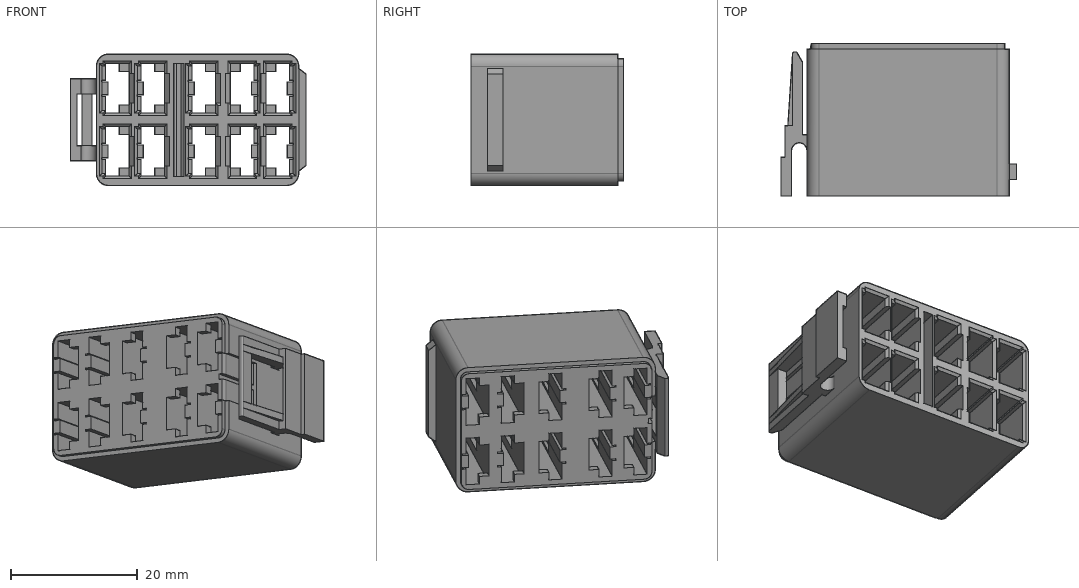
import cadquery as cq

body_width = 32.0
body_height = 20.78
corner_radius = 1.95
total_length = 24.15
rim_length = 0.9
rim_inset = 0.7
body_length = total_length - rim_length
body_left = -body_width / 2
body_right = body_width / 2

columns_slot_left = (-12.65, -7.08, 0.95)
columns_slot_right = (7.05, 12.65)
row_pitch = 9.95
row_centres = (row_pitch / 2, -row_pitch / 2)
lead_in = 0.4
entry_width = 4.5
entry_height = 8.6
side_slot_width = 0.6
side_slot_entry_height = 7.85
side_slot_depth = 11.9
throat_width = entry_width - 2 * lead_in
throat_height = entry_height - 2 * lead_in
side_slot_edge = -entry_width / 2 - side_slot_width
slot_wall = side_slot_edge + lead_in

tongue_height = 2.05
tongue_reach = 0.95
tongue_gap = 0.242
stop_width = 1.55
stop_height = 1.25
stop_length = 1.5
groove_height = 4.6
groove_depth = 0.8
groove_length = 11.9

key_slot_x = -2.95
key_slot_width = 1.65
key_slot_height = 17.85
key_slot_depth = 11.9
key_floor_width = 0.7
key_ridge_crest = 0.35
key_ridge_rise = 0.1
key_ridge_drop = 0.15
key_right_rise = 0.4

latch_height = 13.0
pad_level = 4.1
pad_length = 6.2
lever_level = 3.45
step_y = 11.15
wedge_level = 3.0
arm_outer_level = 2.27
arm_inner_level = 0.67
tip_y = 22.8
tip_slope_start = 21.2
tip_flat = 0.67
tip_radius = 0.35
bridge_top = 9.72
bridge_gap = 2.4
bridge_arc_radius = bridge_gap / 2
bridge_arc_y = 7.22
wedge_base_height = 10.28
window_height = 8.1
window_end = 19.95

relief_start = 14.37
relief_height = 7.65
relief_depth = 0.52
relief_groove_height = 0.85
relief_groove_depth = 1.25

rib_reach = 1.15
rib_start = 2.6
rib_end = 5.1
rib_base_height = 16.25
rib_outer_height = 14.45


def box(x_range, y_range, z_range):
    """Axis-aligned box between the given limits."""
    size = [high - low for low, high in (x_range, y_range, z_range)]
    corner = (x_range[0], y_range[0], z_range[0])
    return cq.Workplane("XY").box(*size, centered=False).translate(corner)


def centred_z(height):
    return (-height / 2, height / 2)


def plate(points, height):
    """Outline in the XY plane, extruded evenly to both sides of Z = 0."""
    return cq.Workplane("XY").polyline(points).close().extrude(height / 2, both=True)


def make_shell():
    """Rounded block with the smaller rim behind it."""
    def block(inset, y_end):
        outline = cq.Workplane("XZ").rect(body_width - 2 * inset, body_height - 2 * inset)
        return outline.extrude(-y_end).edges("|Y").fillet(corner_radius - inset)

    return block(0, body_length).union(block(rim_inset, total_length))


def entry_funnel(left, right, height):
    """Entry opening that narrows at 45 degrees behind the front face."""
    front = cq.Workplane("ZX", origin=((left + right) / 2, 0, 0))
    return front.rect(height, right - left).extrude(lead_in, taper=45)


def make_cell():
    """Cavity of one terminal cell, centred on the Y axis, side slot at -X."""
    throat_edge = throat_width / 2
    cavity = entry_funnel(-entry_width / 2, entry_width / 2, entry_height)
    cavity = cavity.union(entry_funnel(side_slot_edge, entry_width / 2 - lead_in, side_slot_entry_height))

    throat = box((-throat_edge, throat_edge), (0, total_length), centred_z(throat_height))
    side_slot_height = side_slot_entry_height - 2 * lead_in
    side_slot = box((slot_wall, 0), (0, side_slot_depth), centred_z(side_slot_height))
    tongue_window = box((slot_wall, 0), (0, total_length), centred_z(tongue_height + 2 * tongue_gap))
    cavity = cavity.union(throat).union(side_slot).union(tongue_window)

    groove = plate(
        [
            (0, 0),
            (throat_edge + groove_depth, 0),
            (throat_edge + groove_depth, groove_length),
            (throat_edge, groove_length + groove_depth),
            (0, groove_length + groove_depth),
        ],
        groove_height,
    )
    cavity = cavity.union(groove)

    tongue = box(
        (slot_wall, slot_wall + tongue_reach),
        (side_slot_depth, total_length),
        centred_z(tongue_height),
    )
    cavity = cavity.cut(tongue)
    stop_x = (throat_edge - stop_width, throat_edge)
    stop_y = (total_length - stop_length, total_length)
    top = throat_height / 2
    for stop_z in ((top - stop_height, top), (-top, stop_height - top)):
        cavity = cavity.cut(box(stop_x, stop_y, stop_z))
    return cavity


def cut_cells(housing):
    """Remove every cell; the right-hand columns are mirrored."""
    cell = make_cell()
    mirrored_cell = cell.mirror("YZ")
    for centres, cavity in ((columns_slot_left, cell), (columns_slot_right, mirrored_cell)):
        for x in centres:
            for z in row_centres:
                housing = housing.cut(cavity.translate((x, 0, z)))
    return housing


def make_groove_lead_in():
    """Chamfer below the barrel groove of the upper cell in the third column."""
    groove_bottom = row_centres[0] - groove_height / 2
    inner = columns_slot_left[2] + throat_width / 2
    wedge = [(0, groove_bottom), (lead_in, groove_bottom), (0, groove_bottom - lead_in)]
    start = cq.Workplane("YZ", origin=(inner, 0, 0))
    return start.polyline(wedge).close().extrude(groove_depth)


def make_key_slot():
    """Blind slot whose floor has a rounded ridge on the left and a ramp on the right."""
    left = key_slot_x - key_slot_width / 2
    right = key_slot_x + key_slot_width / 2
    flat_left = key_slot_x - key_floor_width / 2
    flat_right = key_slot_x + key_floor_width / 2
    return (
        cq.Workplane("XY")
        .moveTo(left, 0)
        .lineTo(right, 0)
        .lineTo(right, key_slot_depth - key_right_rise)
        .lineTo(flat_right, key_slot_depth)
        .lineTo(flat_left, key_slot_depth)
        .threePointArc(
            (left + key_ridge_crest, key_slot_depth - key_ridge_rise),
            (left, key_slot_depth + key_ridge_drop),
        )
        .close()
        .extrude(key_slot_height / 2, both=True)
    )


def make_latch():
    """Rocking lever joined to the side wall by a bridge, with a central window."""
    def level(distance):
        return body_left - distance

    lever = (
        cq.Workplane("XY")
        .moveTo(level(bridge_gap), 0)
        .lineTo(level(pad_level), 0)
        .lineTo(level(pad_level), pad_length)
        .lineTo(level(lever_level), pad_length)
        .lineTo(level(lever_level), step_y)
        .lineTo(level(arm_outer_level), step_y)
        .lineTo(level(arm_outer_level), tip_y - tip_radius)
        .radiusArc((level(arm_outer_level - tip_radius), tip_y), tip_radius)
        .lineTo(level(arm_outer_level - tip_flat), tip_y)
        .lineTo(level(arm_inner_level), tip_slope_start)
        .lineTo(level(arm_inner_level), bridge_top)
        .lineTo(body_left, bridge_top)
        .lineTo(body_left, bridge_arc_y)
        .threePointArc(
            (level(bridge_arc_radius), bridge_arc_y + bridge_arc_radius),
            (level(bridge_gap), bridge_arc_y),
        )
        .close()
        .extrude(latch_height / 2, both=True)
    )

    wedge = plate(
        [
            (level(arm_outer_level), step_y),
            (level(wedge_level), step_y),
            (level(arm_outer_level), tip_y - tip_radius),
        ],
        wedge_base_height,
    )
    wedge_gap = box(
        (level(wedge_level), level(arm_outer_level)), (step_y, tip_y), centred_z(window_height)
    )
    window = box((level(wedge_level), body_left), (0, window_end), centred_z(window_height))
    return lever.union(wedge.cut(wedge_gap)).cut(window)


def make_latch_relief():
    """Shallow pocket in the side wall and the deeper groove along its middle."""
    pocket = box(
        (body_left, body_left + relief_depth),
        (relief_start, body_length),
        centred_z(relief_height),
    )
    groove = box(
        (body_left, body_left + relief_groove_depth),
        (relief_start, total_length),
        centred_z(relief_groove_height),
    )
    return pocket, groove


def make_relief_ramp():
    """Filler on the rim, sloping from the pocket floor to the rim surface."""
    return plate(
        [
            (body_left + relief_depth, body_length),
            (body_left + rim_inset, total_length),
            (body_left + rim_inset, body_length),
        ],
        relief_height,
    )


def make_key_rib():
    """Rib along Z on the +X side wall, with sloping ends."""
    outer = body_right + rib_reach
    outline = [
        (body_right, -rib_base_height / 2),
        (outer, -rib_outer_height / 2),
        (outer, rib_outer_height / 2),
        (body_right, rib_base_height / 2),
    ]
    start = cq.Workplane("XZ", origin=(0, rib_start, 0))
    return start.polyline(outline).close().extrude(rib_start - rib_end)


relief_pocket, relief_groove = make_latch_relief()
housing = make_shell().cut(relief_pocket)
housing = housing.union(make_relief_ramp()).cut(relief_groove)
housing = cut_cells(housing)
housing = housing.cut(make_groove_lead_in()).cut(make_key_slot())
result = housing.union(make_latch()).union(make_key_rib())